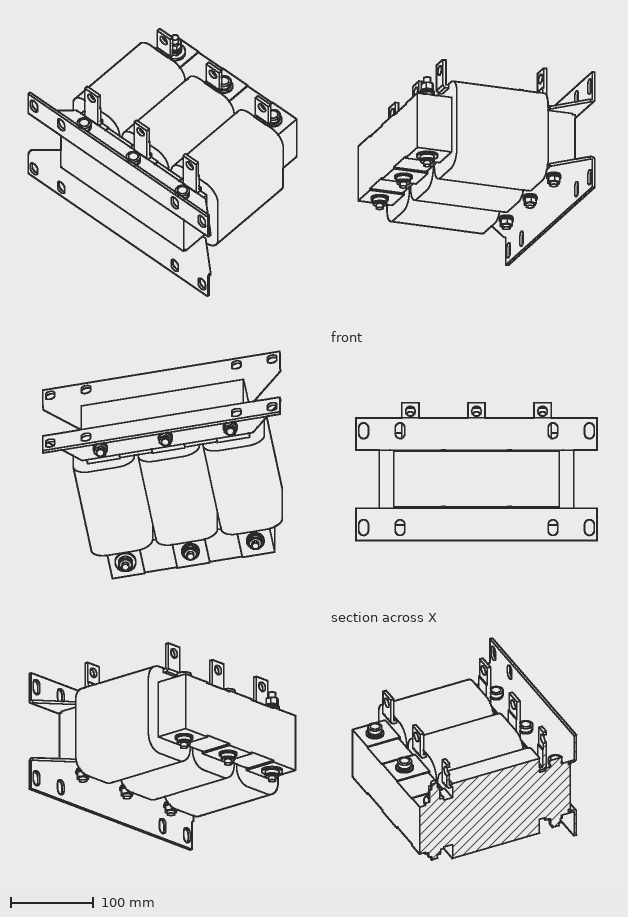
import cadquery as cq
import math


length = 291.0
depth = 211.8
height = 166.5
phase_pitch = 79.7
phase_centres = [-phase_pitch, 0.0, phase_pitch]

strip_bottom = 39.0
strip_top = 109.0
strip_front = 11.0
leg_width = phase_pitch / 2
core_bottom = 41.0
core_top = 108.0
core_front = 8.0
core_length = 5 * leg_width
front_yoke_rear = 48.0
rear_yoke_front = 171.5
spacer_thickness = 2.0

coil_front = 49.8
coil_rear = 167.5
coil_width = 75.5
coil_bottom = 18.5
coil_top = 129.8
coil_corner_radius = 20.0

bracket_thickness = 3.5
bracket_height = strip_bottom
bracket_depth = 42.2
bracket_rear_length = 209.5
bracket_straight_end = 5.8
bend_outer_radius = 4.0
bend_inner_radius = bend_outer_radius - bracket_thickness
slot_width = 11.3
slot_height = 18.5
slot_edge_distance = 15.7
slot_centres = [-136.2, -92.2, 92.2, 136.2]

lug_width = 21.0
lug_thickness = 4.5
lug_hole_diameter = 11.3
lug_hole_from_end = 10.5
lug_chamfer = 3.0
foot_overlap = 3.0
front_lug_face = 40.7
front_lug_bottom = 111.5
rear_lug_face = 175.5
rear_lug_bottom = 124.3
rear_lug_top = 160.0
backing_top = 141.5
backing_thickness = 5.5

front_bolt_y = 28.0
front_shank_diameter = 9.3
front_shank_bottom = 21.5
spring_washer_diameter = 15.0
bolt_head_diameter = 17.0
bolt_head_height = 7.0
bolt_neck_height = 2.3
head_bevel_width = 2.5
head_bevel_height = 1.0
front_washers_height = 2.0
front_nut_height = 6.5
front_nut_turn = 49.0

rear_bolt_y = 191.5
rear_shank_diameter = 8.5
rear_shank_bottom = 25.3
earth_washer_diameter = 25.0
rear_washer_diameter = 21.0
upper_washer_height = 3.2
rear_head_washer_height = 1.5
lower_washer_height = 2.0
lower_collar_height = 4.7
lower_nut_height = 2.0
nut_diameter = 15.5
earth_nut_turn = 30.0
earth_lower_nut_height = 5.5
earth_flat_washer_height = 2.0
earth_spring_washer_height = 1.7
earth_upper_nut_height = 8.1
earth_stud_top = 137.5


def block(x_centre, x_size, y_low, y_high, z_low, z_high):
    """Box centred on x_centre and spanning the given Y and Z limits."""
    box = cq.Workplane("XY").box(x_size, y_high - y_low, z_high - z_low, centered=(True, False, False))
    return box.translate((x_centre, y_low, z_low))


def disc(x, y, z_low, z_high, diameter):
    """Upright cylinder between two heights."""
    return cq.Workplane("XY").circle(diameter / 2).extrude(z_high - z_low).translate((x, y, z_low))


def hex_nut(x, y, z_low, z_high, turn):
    """Upright hexagon between two heights, turned about its axis."""
    nut = cq.Workplane("XY").polygon(6, nut_diameter).extrude(z_high - z_low)
    return nut.rotate((0, 0, 0), (0, 0, 1), turn).translate((x, y, z_low))


def bevelled_head(x, y, seat):
    """Round bolt head with a bevelled top edge, standing on a narrower neck."""
    neck_top = seat + bolt_neck_height
    neck = disc(x, y, seat, neck_top, spring_washer_diameter)
    head = disc(x, y, neck_top, neck_top + bolt_head_height, bolt_head_diameter)
    return neck.union(head.faces(">Z").chamfer(head_bevel_height, head_bevel_width))


def make_core():
    """Two yokes with spacers, and the three legs with their raised strips."""
    front_yoke = block(0, core_length, core_front, front_yoke_rear, core_bottom, core_top)
    rear_yoke = block(0, core_length, rear_yoke_front, depth, core_bottom, core_top)
    front_spacer = block(0, core_length, front_yoke_rear, coil_front, core_bottom, core_top)
    rear_spacer = block(0, core_length, rear_yoke_front - spacer_thickness, rear_yoke_front,
                        core_bottom, core_top)
    core = front_yoke.union(rear_yoke).union(front_spacer).union(rear_spacer)
    for x in phase_centres:
        core = core.union(block(x, leg_width, strip_front, depth, strip_bottom, strip_top))
    return core


def make_coil(x):
    """Winding block with rounded long edges."""
    coil = block(x, coil_width, coil_front, coil_rear, coil_bottom, coil_top)
    return coil.edges("|Y").fillet(coil_corner_radius)


def make_lower_bracket():
    """Angle whose plate tapers to the rear and whose slotted flange hangs down."""
    plate_bottom = bracket_height - bracket_thickness
    plate = block(0, length, 0, bracket_depth, plate_bottom, bracket_height)
    flange = block(0, length, 0, bracket_thickness, 0, bracket_height)
    angle = plate.union(flange)
    angle = angle.edges(cq.selectors.NearestToPointSelector((0, 0, bracket_height))).fillet(bend_outer_radius)
    inner_edge = cq.selectors.NearestToPointSelector((0, bracket_thickness, plate_bottom))
    angle = angle.edges(inner_edge).fillet(bend_inner_radius)

    outline = (
        cq.Workplane("XY")
        .moveTo(-length / 2, 0)
        .lineTo(length / 2, 0)
        .lineTo(length / 2, bracket_straight_end)
        .lineTo(bracket_rear_length / 2, bracket_depth)
        .lineTo(-bracket_rear_length / 2, bracket_depth)
        .lineTo(-length / 2, bracket_straight_end)
        .close()
        .extrude(bracket_height)
    )
    slots = (
        cq.Workplane("XZ")
        .pushPoints([(x, slot_edge_distance) for x in slot_centres])
        .slot2D(slot_height, slot_width, 90)
        .extrude(-bracket_thickness)
    )
    return angle.intersect(outline).cut(slots)


def make_upper_bracket(lower_bracket):
    """Lower bracket turned over and seated on top of the strips."""
    return lower_bracket.mirror("XY").translate((0, 0, strip_top + bracket_height))


def make_lug(x, outer_face, coil_face, bottom, top):
    """L-shaped lug: a foot out of the coil, a chamfered bend and an upright blade with a hole."""
    inward = math.copysign(1, coil_face - outer_face)
    inner_face = outer_face + inward * lug_thickness
    foot_end = coil_face + inward * foot_overlap
    lug = (
        cq.Workplane("YZ")
        .moveTo(outer_face, top)
        .lineTo(outer_face, bottom + lug_chamfer)
        .lineTo(outer_face + inward * lug_chamfer, bottom)
        .lineTo(foot_end, bottom)
        .lineTo(foot_end, bottom + lug_thickness)
        .lineTo(inner_face, bottom + lug_thickness)
        .lineTo(inner_face, top)
        .close()
        .extrude(lug_width / 2, both=True)
    )
    hole = (
        cq.Workplane("XZ")
        .center(0, top - lug_hole_from_end)
        .circle(lug_hole_diameter / 2)
        .extrude(-depth)
    )
    return lug.cut(hole).translate((x, 0, 0))


def make_front_lug(x):
    """Front lug with its thicker lower part."""
    lug = make_lug(x, front_lug_face, coil_front, front_lug_bottom, height)
    backing = block(x, lug_width, front_lug_face, front_lug_face + backing_thickness,
                    front_lug_bottom + lug_chamfer, backing_top)
    return lug.union(backing)


def make_rear_lug(x):
    return make_lug(x, rear_lug_face, coil_rear, rear_lug_bottom, rear_lug_top)


def make_front_bolt(x):
    """Bevelled bolt through both brackets, with two washers and a nut below."""
    y = front_bolt_y
    seat = strip_top + bracket_thickness
    plate_bottom = bracket_height - bracket_thickness
    spring_bottom = plate_bottom - front_washers_height
    nut_top = spring_bottom - front_washers_height
    bolt = disc(x, y, front_shank_bottom, seat, front_shank_diameter)
    bolt = bolt.union(bevelled_head(x, y, seat))
    bolt = bolt.union(disc(x, y, spring_bottom, plate_bottom, spring_washer_diameter))
    bolt = bolt.union(disc(x, y, nut_top, spring_bottom, bolt_head_diameter))
    return bolt.union(hex_nut(x, y, nut_top - front_nut_height, nut_top, front_nut_turn))


def make_rear_shank(x, top, washer_diameter):
    """Shank of a rear bolt with the washer, collar and end ring below the core."""
    y = rear_bolt_y
    washer_bottom = strip_bottom - lower_washer_height
    collar_bottom = washer_bottom - lower_collar_height
    shank = disc(x, y, rear_shank_bottom, top, rear_shank_diameter)
    shank = shank.union(disc(x, y, washer_bottom, strip_bottom, washer_diameter))
    shank = shank.union(disc(x, y, collar_bottom, washer_bottom, bolt_head_diameter))
    return shank.union(disc(x, y, collar_bottom - lower_nut_height, collar_bottom, spring_washer_diameter))


def make_rear_bolt(x):
    """Bevelled bolt on a washer."""
    washer_top = strip_top + rear_head_washer_height
    bolt = make_rear_shank(x, washer_top, rear_washer_diameter)
    bolt = bolt.union(disc(x, rear_bolt_y, strip_top, washer_top, rear_washer_diameter))
    return bolt.union(bevelled_head(x, rear_bolt_y, washer_top))


def make_earth_stud(x):
    """Long stud with a wide washer and two nuts that clamp a pair of washers."""
    y = rear_bolt_y
    washer_top = strip_top + upper_washer_height
    lower_nut_top = washer_top + earth_lower_nut_height
    flat_top = lower_nut_top + earth_flat_washer_height
    spring_top = flat_top + earth_spring_washer_height
    stud = make_rear_shank(x, earth_stud_top, earth_washer_diameter)
    stud = stud.union(disc(x, y, strip_top, washer_top, earth_washer_diameter))
    stud = stud.union(hex_nut(x, y, washer_top, lower_nut_top, earth_nut_turn))
    stud = stud.union(disc(x, y, lower_nut_top, flat_top, bolt_head_diameter))
    stud = stud.union(disc(x, y, flat_top, spring_top, spring_washer_diameter))
    return stud.union(hex_nut(x, y, spring_top, spring_top + earth_upper_nut_height, earth_nut_turn))


lower_bracket = make_lower_bracket()
result = make_core().union(lower_bracket).union(make_upper_bracket(lower_bracket))

for phase_x in phase_centres:
    result = result.union(make_coil(phase_x))
    result = result.union(make_front_lug(phase_x))
    result = result.union(make_rear_lug(phase_x))
    result = result.union(make_front_bolt(phase_x))

earth_x, *plain_bolt_centres = phase_centres
result = result.union(make_earth_stud(earth_x))
for bolt_x in plain_bolt_centres:
    result = result.union(make_rear_bolt(bolt_x))